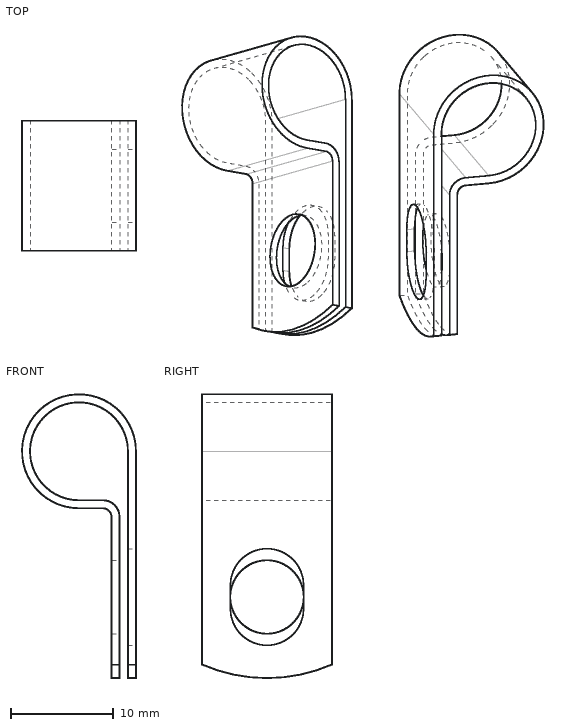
import cadquery as cq
import math

width = 12.7
height = 27.72
loop_diameter = 11.15
thickness = 0.8
leg_gap = 0.8
bend_inner_radius = 0.83
hole_diameter = 7.15
hole_height = 7.93
slot_travel = 2.27
tip_rise = 1.33

outer_radius = loop_diameter / 2
inner_radius = outer_radius - thickness
bottom = outer_radius - height
hole_z = bottom + hole_height
front_leg_right = inner_radius - leg_gap
front_leg_left = front_leg_right - thickness
bend_outer_radius = bend_inner_radius + thickness
bend_x = front_leg_right - bend_outer_radius
bend_z = -inner_radius - bend_outer_radius
diagonal = math.sqrt(0.5)


def make_strip():
    """Bent strip: back leg, three-quarter loop, short floor, front leg."""
    return (
        cq.Workplane("XZ")
        .moveTo(outer_radius, bottom)
        .lineTo(outer_radius, 0)
        .threePointArc((-outer_radius * diagonal, outer_radius * diagonal), (0, -outer_radius))
        .lineTo(bend_x, -outer_radius)
        .threePointArc(
            (bend_x + bend_inner_radius * diagonal, bend_z + bend_inner_radius * diagonal),
            (front_leg_left, bend_z),
        )
        .lineTo(front_leg_left, bottom)
        .lineTo(front_leg_right, bottom)
        .lineTo(front_leg_right, bend_z)
        .threePointArc(
            (bend_x + bend_outer_radius * diagonal, bend_z + bend_outer_radius * diagonal),
            (bend_x, -inner_radius),
        )
        .lineTo(0, -inner_radius)
        .threePointArc((-inner_radius * diagonal, inner_radius * diagonal), (inner_radius, 0))
        .lineTo(inner_radius, bottom)
        .close()
        .extrude(width / 2, both=True)
    )


def make_side_outline():
    """Block with a rounded lower end, used to trim the leg tips."""
    return (
        cq.Workplane("YZ")
        .moveTo(-width / 2, outer_radius)
        .lineTo(-width / 2, bottom + tip_rise)
        .threePointArc((0, bottom), (width / 2, bottom + tip_rise))
        .lineTo(width / 2, outer_radius)
        .close()
        .extrude(loop_diameter, both=True)
    )


def make_front_hole():
    """Round screw hole through the front leg."""
    return (
        cq.Workplane("YZ", origin=(front_leg_right, 0, hole_z))
        .circle(hole_diameter / 2)
        .extrude(-loop_diameter)
    )


def make_back_slot():
    """Upright slot in the back leg, as wide as the round hole."""
    return (
        cq.Workplane("YZ", origin=(inner_radius, 0, hole_z))
        .slot2D(hole_diameter + slot_travel, hole_diameter, 90)
        .extrude(thickness)
    )


result = (
    make_strip()
    .intersect(make_side_outline())
    .cut(make_front_hole())
    .cut(make_back_slot())
)